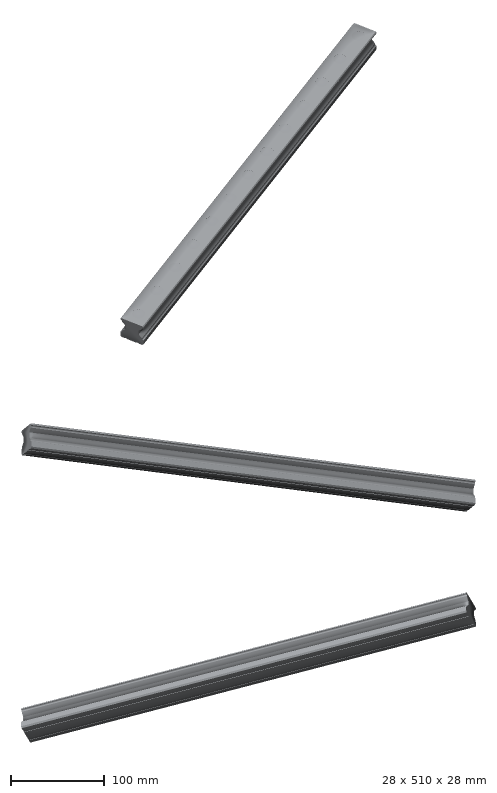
import cadquery as cq

length = 510.0
width = 28.0
height = 28.0

half_width = width / 2
web_half_width = 8.0
base_chamfer = 1.5
top_chamfer = 1.0

web_bottom = 14.0
web_half_height = 2.8
waist_height = web_bottom + web_half_height
flank_size = 4.0
flank_end = web_half_width + flank_size
flank_rise = web_half_height + flank_size
groove_mid_half_width = 12.0
groove_mid_rise = 7.5
groove_end_rise = 9.0

channel_offset = width / 4
channel_width = 2.95
channel_depth = 0.5

recess_count = 13
recess_end_distance = 15.0
recess_pitch = (length - 2 * recess_end_distance) / (recess_count - 1)
recess_diameter = width / 2
recess_depth = 0.1


def make_half_rail():
    """Extrude the +X half of the section along Y, centred on the origin."""
    section = (
        cq.Workplane("XZ")
        .moveTo(0, 0)
        .lineTo(half_width - base_chamfer, 0)
        .lineTo(half_width, base_chamfer)
        .lineTo(half_width, waist_height - groove_end_rise)
        .threePointArc(
            (groove_mid_half_width, waist_height - groove_mid_rise),
            (flank_end, waist_height - flank_rise),
        )
        .lineTo(web_half_width, web_bottom)
        .lineTo(web_half_width, waist_height + web_half_height)
        .lineTo(flank_end, waist_height + flank_rise)
        .threePointArc(
            (groove_mid_half_width, waist_height + groove_mid_rise),
            (half_width, waist_height + groove_end_rise),
        )
        .lineTo(half_width, height - top_chamfer)
        .lineTo(half_width - top_chamfer, height)
        .lineTo(0, height)
        .close()
    )
    return section.extrude(length / 2, both=True)


def make_rail():
    """Join the half rail and its mirror image into one bar."""
    half = make_half_rail()
    return half.union(half.mirror("YZ")).clean()


def make_channels():
    """Two channels running the full length of the underside."""
    return (
        cq.Workplane("XY")
        .rarray(2 * channel_offset, 5, 2, 1)
        .rect(channel_width, length)
        .extrude(channel_depth)
    )


def make_recesses():
    """Evenly spaced shallow discs, sunk from the top face."""
    return (
        cq.Workplane("XY", origin=(0, 0, height))
        .rarray(5, recess_pitch, 1, recess_count)
        .circle(recess_diameter / 2)
        .extrude(-recess_depth)
    )


result = make_rail().cut(make_channels()).cut(make_recesses())